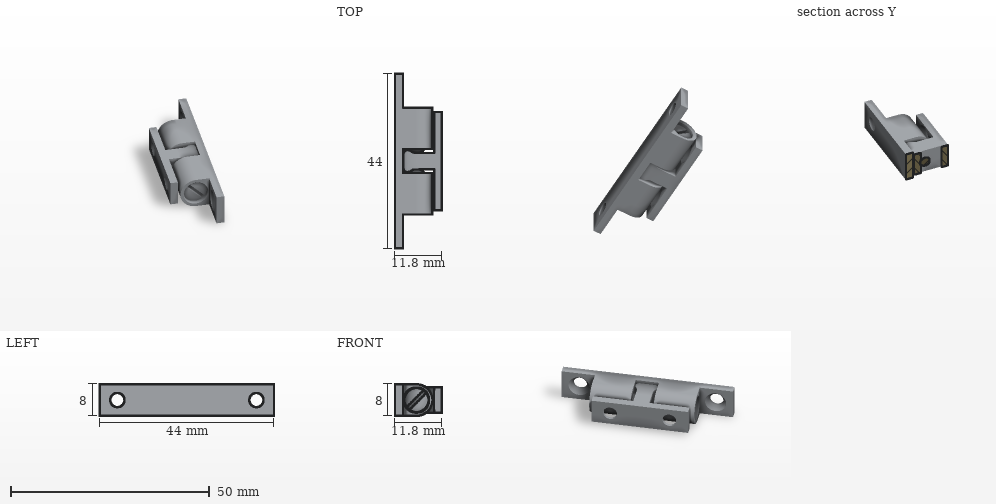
import cadquery as cq
import math


BASE_LENGTH = 44.0
WIDTH = 8.0
BASE_THICKNESS = 2.02
BARREL_RADIUS = WIDTH / 2
BARREL_TIP_X = 9.4
BARREL_AXIS_X = BARREL_TIP_X - BARREL_RADIUS
BARREL_INNER_Y = 3.0
BARREL_LENGTH = 10.45
BARREL_OUTER_Y = BARREL_INNER_Y + BARREL_LENGTH
BASE_HOLE_Y = 17.5

HOLE_RADIUS = 1.75
COUNTERSINK_RADIUS = 2.75
COUNTERSINK_DEPTH = 2.8

PLUNGER_RADIUS = 3.05
BORE_CHAMFER = 0.18
PLUNGER_RECESS = 1.0
SLOT_WIDTH = 0.95
SLOT_DEPTH = 0.95
SLOT_ANGLE = 45
BALL_RADIUS = 2.3
BALL_INSET = 1.2
BALL_Y = BARREL_INNER_Y + BALL_INSET

STRIKER_LENGTH = 24.8
STRIKER_WIDTH = 6.5
STRIKER_BACK_X = 11.8
STRIKER_THICKNESS = 1.95
STRIKER_FACE_X = STRIKER_BACK_X - STRIKER_THICKNESS
STRIKER_HOLE_Y = 7.6
STEM_HALF = 2.05
HEAD_HALF = 2.8
HEAD_TIP_X = 2.1
HEAD_ROUND = 0.95
HEAD_CREST_X = HEAD_TIP_X + HEAD_ROUND
NECK_X = 5.2

SIDES = (-1, 1)


def countersunk_hole(y, rim_x, far_x):
    """Cutter along X, widest at rim_x and running through to far_x."""
    inward = math.copysign(0.45, far_x - rim_x)
    seat_x = rim_x + inward * COUNTERSINK_DEPTH
    outline = [
        (rim_x, 0),
        (rim_x, COUNTERSINK_RADIUS),
        (seat_x, HOLE_RADIUS),
        (far_x, HOLE_RADIUS),
        (far_x, 0),
    ]
    profile = cq.Workplane("XY").polyline(outline).close()
    return profile.revolve(360, (0, 0, 0), (1, 0, 0)).translate((0, y, 0))


def ball(side):
    return cq.Workplane("XY").sphere(BALL_RADIUS).translate((BARREL_AXIS_X, side * BALL_Y, 0))


def rod(radius, side, inner_y, outer_y):
    """Cylinder on the barrel axis between two distances from the middle."""
    start = cq.Vector(BARREL_AXIS_X, side * inner_y, 0)
    direction = cq.Vector(0, side, 0)
    return cq.Workplane(cq.Solid.makeCylinder(radius, outer_y - inner_y, start, direction))


def bore_mouth(side):
    """Conical chamfer cutter at the outer end of a bore."""
    return cq.Workplane(cq.Solid.makeCone(
        PLUNGER_RADIUS + BORE_CHAMFER,
        PLUNGER_RADIUS,
        BORE_CHAMFER,
        cq.Vector(BARREL_AXIS_X, side * BARREL_OUTER_Y, 0),
        cq.Vector(0, -side, 0),
    ))


def make_barrel(side):
    """Block with a half-round front that stands on the base plate."""
    block = cq.Workplane("XY").box(
        BARREL_AXIS_X, BARREL_LENGTH, WIDTH, centered=(False, True, True)
    ).translate((0, side * (BARREL_INNER_Y + BARREL_LENGTH / 2), 0))
    return block.union(rod(BARREL_RADIUS, side, BARREL_INNER_Y, BARREL_OUTER_Y))


def make_housing():
    housing = cq.Workplane("XY").box(
        BASE_THICKNESS, BASE_LENGTH, WIDTH, centered=(False, True, True)
    )
    for side in SIDES:
        housing = housing.union(make_barrel(side))
    for side in SIDES:
        housing = housing.cut(rod(PLUNGER_RADIUS, side, BALL_Y, BARREL_OUTER_Y))
        housing = housing.cut(ball(side))
        housing = housing.cut(bore_mouth(side))
        housing = housing.cut(countersunk_hole(side * BASE_HOLE_Y, BASE_THICKNESS, 0))
    return housing


def make_plunger(side):
    """Plunger with a ball nose at the inner end and a screwdriver slot at the outer end."""
    outer_y = BARREL_OUTER_Y - PLUNGER_RECESS
    plunger = rod(PLUNGER_RADIUS, side, BALL_Y, outer_y).union(ball(side))
    slot = (
        cq.Workplane("XY")
        .box(2 * PLUNGER_RADIUS, SLOT_DEPTH, SLOT_WIDTH)
        .rotate((0, 0, 0), (0, 1, 0), -SLOT_ANGLE)
        .translate((BARREL_AXIS_X, side * (outer_y - SLOT_DEPTH / 2), 0))
    )
    return plunger.cut(slot)


def make_stem():
    """Striker stem with a rounded head; each flank is an S of two equal tangent arcs."""
    crest_to_neck = NECK_X - HEAD_CREST_X
    step = HEAD_HALF - STEM_HALF
    flank_radius = (crest_to_neck**2 + step**2) / (4 * step)
    mid_x = (HEAD_CREST_X + NECK_X) / 2
    mid_y = (HEAD_HALF + STEM_HALF) / 2
    half_turn = math.asin(crest_to_neck / 2 / flank_radius) / 2
    bow_x = flank_radius * math.sin(half_turn)
    bow_y = flank_radius * (1 - math.cos(half_turn))
    corner_inset = HEAD_ROUND * (1 - math.sqrt(0.5))
    corner = (HEAD_TIP_X + corner_inset, HEAD_HALF - corner_inset)
    crest_bow = (HEAD_CREST_X + bow_x, HEAD_HALF - bow_y)
    neck_bow = (NECK_X - bow_x, STEM_HALF + bow_y)

    half_stem = (
        cq.Workplane("XY")
        .moveTo(HEAD_TIP_X, 0)
        .lineTo(HEAD_TIP_X, HEAD_HALF - HEAD_ROUND)
        .threePointArc(corner, (HEAD_CREST_X, HEAD_HALF))
        .threePointArc(crest_bow, (mid_x, mid_y))
        .threePointArc(neck_bow, (NECK_X, STEM_HALF))
        .lineTo(STRIKER_BACK_X, STEM_HALF)
        .lineTo(STRIKER_BACK_X, 0)
        .close()
        .extrude(STRIKER_WIDTH / 2, both=True)
    )
    return half_stem.union(half_stem.mirror("XZ"))


def make_striker():
    plate = cq.Workplane("XY").box(
        STRIKER_THICKNESS, STRIKER_LENGTH, STRIKER_WIDTH, centered=(False, True, True)
    ).translate((STRIKER_FACE_X, 0, 0))
    striker = plate.union(make_stem()).clean()
    for side in SIDES:
        striker = striker.cut(countersunk_hole(side * STRIKER_HOLE_Y, STRIKER_FACE_X, STRIKER_BACK_X))
        striker = striker.cut(ball(side))
    return striker


housing = make_housing()
striker = make_striker()
plungers = [make_plunger(side) for side in SIDES]

result = cq.Compound.makeCompound([
    housing.val(),
    striker.val(),
    *[plunger.val() for plunger in plungers],
])